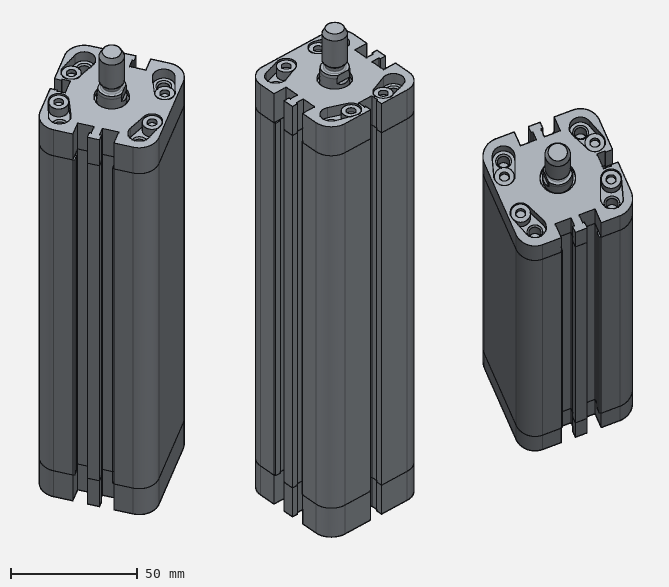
import cadquery as cq
import math

section = 49.0
total_height = 229.5
cylinder_height = 204.5
cap_height = 14.5
corner_diameter = 16.3
corner_radius = corner_diameter / 2
half_section = section / 2
barrel_height = cylinder_height - 2 * cap_height
top_cap_base = cylinder_height - cap_height

groove_depth = 6.5
lip_thickness = 2.8
groove_outer_wall = 8.5
lip_edge = 7.8
lip_bevel_depth = 0.35
rib_half_width = 1.72
rib_head_half_width = 2.5

side_groove_depth = 6.5
side_groove_width = 6.9
side_mouth_width = 5.7
side_lip_thickness = 3.0

mount_offset = half_section - corner_radius
mount_diameter = 4.8
mount_mouth_diameter = 6.2
mount_depth = 6.9
mount_chamfer = (mount_mouth_diameter - mount_diameter) / 2
pocket_diameter = 9.0
pocket_end_diameter = 8.3
pocket_depth = 5.0
pocket_floor = cylinder_height - pocket_depth
screw_x = 19.3
screw_y = 8.5
screw_diameter = 7.8
screw_head_height = 4.4
socket_diameter = 4.0
socket_depth = 2.0

rod_diameter = 12.0
flat_width = 10.0
flat_base = 206.3
shoulder_height = 210.2
shoulder_chamfer = 0.2
shoulder_chamfer_length = 1.4
neck_diameter = 7.5
neck_fillet = 0.7
thread_diameter = 10.0
thread_base = 213.7
thread_chamfer = (thread_diameter - neck_diameter) / 2
tip_diameter = 7.5
tip_chamfer_length = 2.5
wiper_diameter = 14.0
wiper_depth = 2.0


def block(x_min, x_max, y_min, y_max, base, height):
    return (
        cq.Workplane("XY", origin=(0, 0, base))
        .center((x_min + x_max) / 2, (y_min + y_max) / 2)
        .rect(x_max - x_min, y_max - y_min)
        .extrude(height)
    )


def cylinder(diameter, x, y, base, height):
    return cq.Workplane("XY", origin=(x, y, base)).circle(diameter / 2).extrude(height)


def groove_lip(base, height):
    """Bevelled lip that narrows a groove mouth on its outer side."""
    lip_inside = half_section - lip_thickness
    return (
        cq.Workplane("XY", origin=(0, 0, base))
        .moveTo(groove_outer_wall, lip_inside)
        .lineTo(lip_edge, lip_inside)
        .lineTo(lip_edge, half_section - lip_bevel_depth)
        .lineTo(groove_outer_wall, half_section)
        .close()
        .extrude(height)
    )


def paired_grooves(base, height, lipped):
    """Four grooves, mirrored over both centre planes."""
    lip_inside = half_section - lip_thickness
    floor = half_section - groove_depth
    chamber = block(rib_half_width, groove_outer_wall, floor, lip_inside, base, height)
    mouth = block(rib_head_half_width, groove_outer_wall, lip_inside, half_section, base, height)
    groove = chamber.union(mouth)
    if lipped:
        groove = groove.cut(groove_lip(base, height))
    pair = groove.union(groove.mirror("YZ"))
    return pair.union(pair.mirror("XZ"))


def side_groove(base, height):
    wall = -half_section
    lip_inside = wall + side_lip_thickness
    floor = wall + side_groove_depth
    mouth = block(wall, lip_inside, -side_mouth_width / 2, side_mouth_width / 2, base, height)
    chamber = block(lip_inside, floor, -side_groove_width / 2, side_groove_width / 2, base, height)
    return mouth.union(chamber)


def grooved_block(base, height, lipped=False):
    body = block(-half_section, half_section, -half_section, half_section, base, height)
    body = body.edges("|Z").fillet(corner_radius)
    body = body.cut(paired_grooves(base, height, lipped))
    return body.cut(side_groove(base, height))


def corner_pocket():
    """Tapered slot: two arcs of different radius joined by their common tangents."""
    start_radius = pocket_diameter / 2
    end_radius = pocket_end_diameter / 2
    run_x = screw_x - mount_offset
    run_y = screw_y - mount_offset
    direction = math.atan2(run_y, run_x)
    tangent_angle = math.acos((start_radius - end_radius) / math.hypot(run_x, run_y))

    def start_point(angle):
        return mount_offset + start_radius * math.cos(angle), mount_offset + start_radius * math.sin(angle)

    def end_point(angle):
        return screw_x + end_radius * math.cos(angle), screw_y + end_radius * math.sin(angle)

    return (
        cq.Workplane("XY", origin=(0, 0, pocket_floor))
        .moveTo(*start_point(direction + tangent_angle))
        .threePointArc(start_point(direction + math.pi), start_point(direction - tangent_angle))
        .lineTo(*end_point(direction - tangent_angle))
        .threePointArc(end_point(direction), end_point(direction + tangent_angle))
        .close()
        .extrude(pocket_depth)
    )


def mounting_hole():
    """Blind hole with a chamfered mouth in the pocket floor."""
    bore = cylinder(mount_diameter, mount_offset, mount_offset, pocket_floor - mount_depth, mount_depth)
    mouth = (
        cq.Workplane("XY", origin=(mount_offset, mount_offset, pocket_floor))
        .circle(mount_mouth_diameter / 2)
        .workplane(offset=-mount_chamfer)
        .circle(mount_diameter / 2)
        .loft()
    )
    return bore.union(mouth)


def screw_head():
    """Cylindrical screw head with a round socket, standing on the pocket floor."""
    head = cylinder(screw_diameter, screw_x, screw_y, pocket_floor, screw_head_height)
    socket_floor = pocket_floor + screw_head_height - socket_depth
    return head.cut(cylinder(socket_diameter, screw_x, screw_y, socket_floor, socket_depth))


def at_four_corners(shape):
    pair = [shape, shape.mirror("YZ")]
    return pair + [half.mirror("XZ") for half in pair]


def build_top_cap():
    cap = grooved_block(top_cap_base, cap_height)
    recess = corner_pocket().cut(screw_head()).union(mounting_hole())
    for corner_recess in at_four_corners(recess):
        cap = cap.cut(corner_recess)
    cap = cap.cut(cylinder(rod_diameter, 0, 0, top_cap_base, cap_height))
    return cap.cut(cylinder(wiper_diameter, 0, 0, cylinder_height - wiper_depth, wiper_depth))


def wrench_flat():
    """Cut on the +X side whose lower end slopes outwards at 45 degrees."""
    flat = flat_width / 2
    cut_depth = rod_diameter / 2 - flat
    return (
        cq.Workplane("XZ")
        .moveTo(flat, flat_base)
        .lineTo(flat, shoulder_height)
        .lineTo(flat + cut_depth, shoulder_height)
        .lineTo(flat + cut_depth, flat_base - cut_depth)
        .close()
        .extrude(rod_diameter / 2, both=True)
    )


def build_rod():
    rod_radius = rod_diameter / 2
    neck_radius = neck_diameter / 2
    thread_radius = thread_diameter / 2
    rod = (
        cq.Workplane("XZ")
        .moveTo(0, top_cap_base)
        .lineTo(rod_radius, top_cap_base)
        .lineTo(rod_radius, shoulder_height - shoulder_chamfer_length)
        .lineTo(rod_radius - shoulder_chamfer, shoulder_height)
        .lineTo(neck_radius + neck_fillet, shoulder_height)
        .radiusArc((neck_radius, shoulder_height + neck_fillet), neck_fillet)
        .lineTo(neck_radius, thread_base - thread_chamfer)
        .lineTo(thread_radius, thread_base)
        .lineTo(thread_radius, total_height - tip_chamfer_length)
        .lineTo(tip_diameter / 2, total_height)
        .lineTo(0, total_height)
        .close()
        .revolve()
    )
    return rod.cut(wrench_flat()).cut(wrench_flat().mirror("YZ"))


bottom_cap = grooved_block(0, cap_height)
barrel = grooved_block(cap_height, barrel_height, lipped=True)
top_cap = build_top_cap()
rod = build_rod()

result = cq.Compound.makeCompound([bottom_cap.val(), barrel.val(), top_cap.val(), rod.val()])